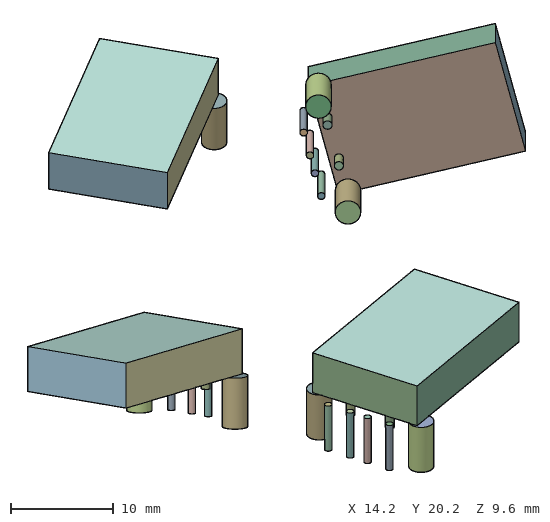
import cadquery as cq

housing_width = 12.0
housing_length = 18.8
housing_height = 4.5

leg_length = 5.1

post_diameter = 2.5
overall_width = 14.18
post_offset_x = (overall_width - post_diameter) / 2
post_y = -1.0

pin_diameter = 0.73
overall_length = 20.25
pin_y = overall_length - housing_length - pin_diameter / 2
inner_pin_offset_x = 1.0
outer_pin_offset_x = 3.5

peg_diameter = 0.9
peg_length = 1.8
peg_offset_x = 2.25
peg_y = post_y


def make_housing():
    """Plain rectangular block."""
    return cq.Workplane("XY").box(
        housing_width, housing_length, housing_height, centered=(True, False, False)
    ).translate((0, -housing_length, 0))


def make_leg(x, y, diameter, length):
    """Round leg hanging down from Z = 0."""
    return cq.Workplane("XY").center(x, y).circle(diameter / 2).extrude(-length)


def make_post(x):
    return make_leg(x, post_y, post_diameter, leg_length)


def make_pin(x):
    return make_leg(x, pin_y, pin_diameter, leg_length)


def make_peg(x):
    return make_leg(x, peg_y, peg_diameter, peg_length)


housing = make_housing()
posts = []
pins = []
pegs = []
for side in (-1, 1):
    posts.append(make_post(side * post_offset_x))
    pegs.append(make_peg(side * peg_offset_x))
    for pin_offset_x in (inner_pin_offset_x, outer_pin_offset_x):
        pins.append(make_pin(side * pin_offset_x))

result = cq.Compound.makeCompound(
    [housing.val()] + [leg.val() for leg in posts + pins + pegs]
)